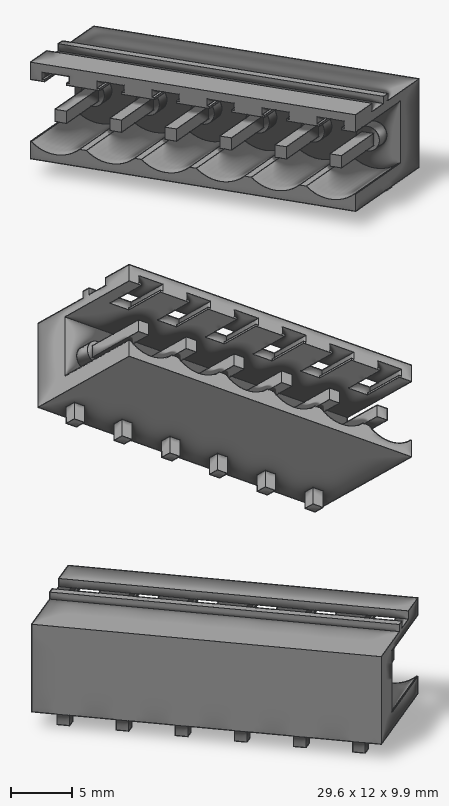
import cadquery as cq

housing_width = 29.6
housing_depth = 12.0
housing_height = 8.4

pin_count = 6
pin_pitch = 5.0
pin_centres = [(i - (pin_count - 1) / 2) * pin_pitch for i in range(pin_count)]

back_wall = 3.55
floor_thickness = 1.5
lip_height = 0.7
lip_depth = 3.1
lip_thickness = 1.5
roof_underside = housing_height - lip_thickness
roof_top = housing_height - lip_height
cavity_depth = housing_depth - back_wall
ridge_front = 5.27
ridge_width = 0.8
ridge_height = 0.62

scallop_half_chord = 2.2
scallop_depth = 0.8

slot_length = 4.17
slot_width = 2.5
slot_neck_width = 1.98
slot_neck_height = 0.18

boss_diameter = 2.13
boss_length = 1.42

pin_size = 1.07
pin_height = 3.73
pin_setback = 0.98
post_length = 1.5
post_to_back = 1.5


def make_shell():
    """C-shaped housing profile with a front lip and a ridge, extruded along X."""
    ridge_back = ridge_front + ridge_width
    ridge_top = roof_top + ridge_height
    return (
        cq.Workplane("YZ")
        .workplane(offset=-housing_width / 2)
        .polyline([
            (0, 0),
            (housing_depth, 0),
            (housing_depth, roof_top),
            (ridge_back, roof_top),
            (ridge_back, ridge_top),
            (ridge_front, ridge_top),
            (ridge_front, roof_top),
            (lip_depth, roof_top),
            (lip_depth, housing_height),
            (0, housing_height),
            (0, roof_underside),
            (cavity_depth, roof_underside),
            (cavity_depth, floor_thickness),
            (0, floor_thickness),
        ])
        .close()
        .extrude(housing_width)
    )


def make_scallop(x):
    """Shallow cylindrical trough in the floor below one pin."""
    return (
        cq.Workplane("XZ")
        .moveTo(x - scallop_half_chord, floor_thickness)
        .threePointArc(
            (x, floor_thickness - scallop_depth),
            (x + scallop_half_chord, floor_thickness),
        )
        .close()
        .extrude(-cavity_depth)
    )


def make_slot(x):
    """T-slot in the roof above one pin: narrow neck below, wide channel above."""
    neck_top = roof_underside + slot_neck_height
    neck = cq.Workplane("XY").box(
        slot_neck_width, slot_length, roof_top - roof_underside, centered=(True, False, False)
    ).translate((x, 0, roof_underside))
    channel = cq.Workplane("XY").box(
        slot_width, slot_length, roof_top - neck_top, centered=(True, False, False)
    ).translate((x, 0, neck_top))
    return neck.union(channel)


def make_boss(x):
    """Round boss on the cavity's back face, around one pin."""
    return (
        cq.Workplane("XZ", origin=(x, cavity_depth, pin_height))
        .circle(boss_diameter / 2)
        .extrude(boss_length)
    )


def make_pin(x):
    """Square L-shaped pin: contact leg along Y and solder post down through the bottom."""
    post_back = housing_depth - post_to_back
    post_front = post_back - pin_size
    leg_bottom = pin_height - pin_size / 2
    leg_top = pin_height + pin_size / 2
    return (
        cq.Workplane("YZ")
        .workplane(offset=x - pin_size / 2)
        .polyline([
            (pin_setback, leg_bottom),
            (post_front, leg_bottom),
            (post_front, -post_length),
            (post_back, -post_length),
            (post_back, leg_top),
            (pin_setback, leg_top),
        ])
        .close()
        .extrude(pin_size)
    )


pins = [make_pin(x) for x in pin_centres]

housing = make_shell()
for x, pin in zip(pin_centres, pins):
    housing = housing.cut(make_scallop(x)).cut(make_slot(x))
    housing = housing.union(make_boss(x)).cut(pin)

result = cq.Compound.makeCompound([housing.val(), *[pin.val() for pin in pins]])